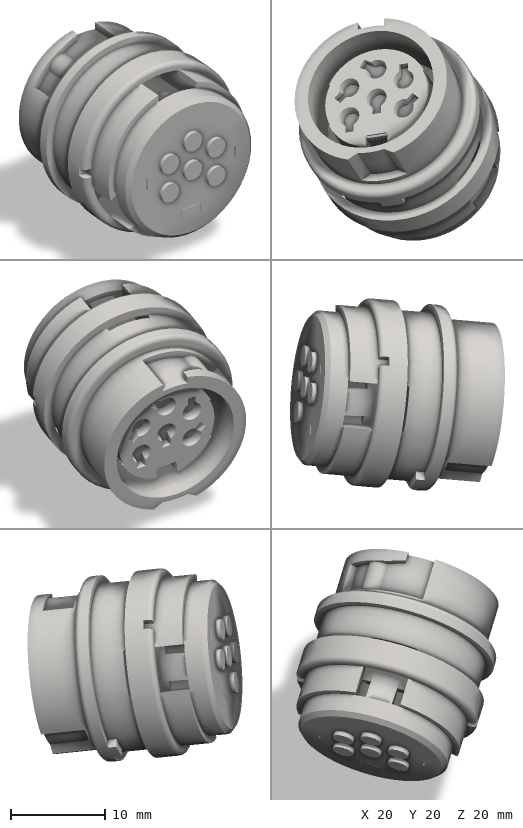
import cadquery as cq
import math


length = 20.0
insert_face_x = 2.0
bayonet_end_x = 4.8
flange_x = 5.5
flange_back_x = 7.0
window_x = 10.5
nut_x = 11.0
nut_end_x = 14.0
latch_x = 13.5
latch_gap_x = 14.52
shell_end_x = 17.05
cap_end_x = 19.5

nose_radius = 8.5
flange_radius = 9.92
shell_radius = 9.02
nut_radius = 10.0
cap_radius = 8.25
mouth_radius = 7.0
insert_radius = 5.85
edge_size = 0.5

groove_radius = 7.65
entry_half_width = 1.48
entry_depth_x = 1.0
cam_x = 1.35
cam_end_y = -3.4
detent_radius = 1.6
detent_start = (-3.7, 6.9)
detent_end_y = -5.45
stop_angle = 152.2
keyway_outer_half_width = 2.5
keyway_outer_z = -8.08

window_half_width = 2.48
window_floor_radius = 6.6
latch_half_width = 1.45
latch_slot_floor = 5.4
latch_groove_radius = 0.8
latch_end_radius = 7.6
window_angles = (90, 210, 330)

key_half_width = 1.25
key_top_z = -4.6
key_step_half_width = 1.12
key_step_z = -4.35
key_step_depth = 0.2
key_x = 6.0
key_gap = 0.05
relief_inner_radius = 5.72
relief_half_height = 2.48
relief_through_half_height = 0.8

contact_circle_radius = 3.5
contact_radius = 1.12
hole_radius = 0.88
hole_depth = 1.0
lead_in_depth = 0.8
tab_width = 1.0
tab_length = 1.88
stub_overlap = 0.2
circle_contacts = ((90, 30), (30, -45), (-30, -90), (150, 90), (210, 135))
center_tab_angle = -90

lug_length = 0.95
spanner_slot_width = 1.0
spanner_slot_x = 13.0
outside = 12.0


def ring(x_start, x_end, outer, inner=0.0):
    """Cylinder or tube along the X axis."""
    profile = cq.Workplane("YZ", origin=(x_start, 0, 0)).circle(outer)
    if inner:
        profile = profile.circle(inner)
    return profile.extrude(x_end - x_start)


def block(x_start, x_end, y_start, y_end, z_start, z_end):
    """Box given by its limits along each axis."""
    size = (x_end - x_start, y_end - y_start, z_end - z_start)
    return cq.Workplane().box(*size, centered=False).translate((x_start, y_start, z_start))


def turned(shape, angle):
    """Shape that points along +Y, turned about X towards +Z."""
    return shape.rotate((0, 0, 0), (1, 0, 0), angle)


def polar(radius, angle):
    """(y, z) at a radius and an angle measured from +Y towards +Z."""
    return (radius * math.cos(math.radians(angle)), radius * math.sin(math.radians(angle)))


def outer_shell():
    """Nose, flange with its locating lug, threaded barrel and chamfered end cap."""
    flange = ring(flange_x, flange_back_x, flange_radius).faces("<X").edges().fillet(edge_size)
    cap = ring(shell_end_x, cap_end_x, cap_radius).faces(">X").edges().chamfer(edge_size)
    lug = ring(flange_back_x, flange_back_x + lug_length, flange_radius).intersect(
        block(0, length, -key_half_width, key_half_width, -outside, 0))
    barrel = ring(flange_back_x, shell_end_x, shell_radius)
    return ring(0, flange_x, nose_radius).union(flange).union(barrel).union(lug).union(cap)


def mouth():
    """Open mouth and the annular channel around the insert."""
    return ring(0, flange_back_x, mouth_radius).cut(
        ring(insert_face_x, flange_back_x, insert_radius))


def groove_floor_z(y):
    """Height of the round groove floor above a given y."""
    return math.sqrt(groove_radius**2 - y**2)


def bayonet_groove():
    """Top entry, cam ramp and the sideways groove with its detent and end wall."""
    entry = block(0, bayonet_end_x, -entry_half_width, entry_half_width, 0, outside)
    cam = (
        cq.Workplane("XY")
        .moveTo(entry_depth_x, -entry_half_width)
        .lineTo(bayonet_end_x, -entry_half_width)
        .lineTo(bayonet_end_x, cam_end_y)
        .lineTo(cam_x, cam_end_y)
        .close()
        .extrude(outside)
    )
    round_floor = entry.union(cam).cut(ring(0, length, groove_radius))

    detent_end = (detent_end_y, groove_floor_z(detent_end_y))
    detent_end_angle = math.degrees(math.acos(detent_end_y / groove_radius))
    stop_outside = polar(outside, stop_angle)
    side_groove = (
        cq.Workplane("YZ", origin=(cam_x, 0, 0))
        .moveTo(cam_end_y, outside)
        .lineTo(cam_end_y, groove_floor_z(cam_end_y))
        .lineTo(*detent_start)
        .radiusArc(detent_end, -detent_radius)
        .threePointArc(
            polar(groove_radius, (detent_end_angle + stop_angle) / 2),
            polar(groove_radius, stop_angle))
        .lineTo(*stop_outside)
        .lineTo(stop_outside[0], outside)
        .close()
        .extrude(bayonet_end_x - cam_x)
    )
    return round_floor.union(side_groove)


def bottom_keyway():
    """Flared keyway under the nose, with a floor concentric with the mouth."""
    floor_z = -groove_floor_z(entry_half_width)
    flare = (keyway_outer_half_width - entry_half_width) / (floor_z - keyway_outer_z)
    bottom_half_width = entry_half_width + flare * (floor_z + outside)
    return (
        cq.Workplane("YZ")
        .moveTo(-entry_half_width, floor_z)
        .threePointArc((0, -groove_radius), (entry_half_width, floor_z))
        .lineTo(bottom_half_width, -outside)
        .lineTo(-bottom_half_width, -outside)
        .close()
        .extrude(bayonet_end_x)
    )


def latch_window():
    """Window towards +Y, leaving the latch ramp and opening a slot on each of its sides."""
    opening = block(window_x, shell_end_x, 0, outside, -window_half_width, window_half_width)
    slot_length = shell_end_x - latch_gap_x
    side_slots = (
        cq.Workplane("YZ", origin=(latch_gap_x, 0, 0))
        .rect(2 * (outside - latch_slot_floor), 2 * window_half_width)
        .extrude(slot_length)
        .edges("|X and <Y").fillet(latch_groove_radius)
        .translate((0, outside, 0))
    )
    opening = opening.cut(ring(0, length, window_floor_radius)).union(side_slots)
    ramp = (
        cq.Workplane("XY")
        .moveTo(latch_x, 0)
        .lineTo(latch_x, window_floor_radius)
        .lineTo(shell_end_x, latch_end_radius)
        .lineTo(shell_end_x, 0)
        .close()
        .revolve(360, (0, 0, 0), (1, 0, 0))
    )
    latch = ramp.intersect(
        block(0, length, 0, outside, -latch_half_width, latch_half_width))
    return opening.cut(latch)


def key_slot():
    """Slot through the lower edge of the insert with its key, and a shallow step above."""
    slot = block(insert_face_x, cap_end_x, -key_half_width, key_half_width, -outside, key_top_z)
    slot = slot.intersect(ring(0, length, insert_radius))
    key = block(key_x, cap_end_x, key_gap - key_half_width, key_half_width - key_gap,
                -outside, key_top_z - key_gap)
    step = block(insert_face_x, insert_face_x + key_step_depth,
                 -key_step_half_width, key_step_half_width, key_top_z, key_step_z)
    return slot.cut(key).union(step)


def side_reliefs():
    """Thin gaps on both sides of the insert; their middle part runs right through."""
    front = ring(insert_face_x, window_x, insert_radius, relief_inner_radius).intersect(
        block(0, length, -outside, outside, -relief_half_height, relief_half_height))
    through = ring(insert_face_x, cap_end_x, insert_radius, relief_inner_radius).intersect(
        block(0, length, -outside, outside,
              -relief_through_half_height, relief_through_half_height))
    return front.union(through)


def contact_places():
    """(y, z, tab angle) of every contact."""
    places = [(0.0, 0.0, center_tab_angle)]
    for angle, tab_angle in circle_contacts:
        y, z = polar(contact_circle_radius, angle)
        places.append((y, z, tab_angle))
    return places


def contact_hole(tab_angle):
    """Blind hole with a conical lead-in and a tab slot."""
    bottom_x = insert_face_x + hole_depth
    hole = (
        cq.Workplane("XY")
        .moveTo(insert_face_x, 0)
        .lineTo(insert_face_x, contact_radius)
        .lineTo(insert_face_x + lead_in_depth, hole_radius)
        .lineTo(bottom_x, hole_radius)
        .lineTo(bottom_x, 0)
        .close()
        .revolve(360, (0, 0, 0), (1, 0, 0))
    )
    tab = block(insert_face_x, bottom_x, 0, tab_length, -tab_width / 2, tab_width / 2)
    return hole.union(turned(tab, tab_angle))


def make_connector():
    """Shell with its keyed contact insert."""
    body = outer_shell().cut(mouth()).cut(bayonet_groove()).cut(bottom_keyway())
    for angle in window_angles:
        body = body.cut(turned(latch_window(), angle))
    body = body.cut(key_slot()).cut(side_reliefs())
    for y, z, tab_angle in contact_places():
        stub = ring(cap_end_x - stub_overlap, length, contact_radius)
        body = body.cut(contact_hole(tab_angle).translate((0, y, z)))
        body = body.union(stub.translate((0, y, z)))
    return body


def make_nut():
    """Ring nut on the barrel, with a spanner slot on each side."""
    nut = ring(nut_x, nut_end_x, nut_radius).faces(">X").edges().fillet(edge_size)
    nut = nut.cut(ring(nut_x, nut_end_x, shell_radius))
    half_slot = spanner_slot_width / 2
    return nut.cut(block(spanner_slot_x, nut_end_x, -outside, outside, -half_slot, half_slot))


connector = make_connector()
nut = make_nut()

result = cq.Compound.makeCompound([connector.solids().val(), nut.solids().val()])